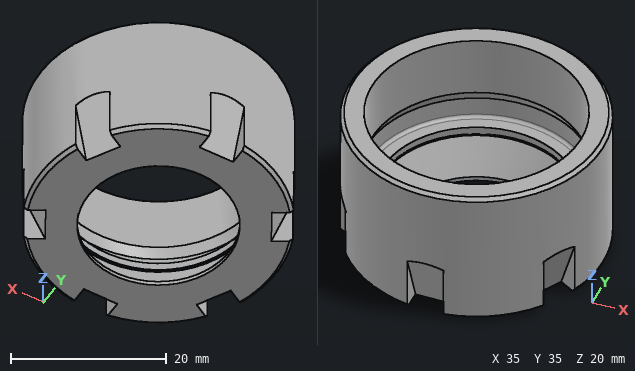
import cadquery as cq
import math

outer_diameter = 35.0
height = 20.0
rim_chamfer = 0.5
outer_radius = outer_diameter / 2

entry_radius = 28.9 / 2
relief_radius = 30.3 / 2
seat_radius = 26.0 / 2
exit_radius = 20.9 / 2
entry_depth = 8.6
relief_angle = 25.0
seat_depth = 13.2
seat_fillet = 0.45
seat_lip_depth = 14.4
groove_step = 0.15
cone_start_depth = 14.65
cone_angle = 30.0

slot_count = 6
slot_width = 5.0
slot_height = 8.2
slot_angle = 20.0


def make_ring():
    """Plain ring blank with both outer rims chamfered."""
    blank = cq.Workplane("XY").circle(outer_radius).extrude(height)
    return blank.faces("<Z or >Z").edges().chamfer(rim_chamfer)


def make_bore():
    """Revolved core: entry, undercut, filleted seat, shallow groove, tapered mouth and exit."""
    entry_z = height - entry_depth
    relief_z = entry_z - (relief_radius - entry_radius) / math.tan(math.radians(relief_angle))
    seat_z = height - seat_depth
    groove_radius = seat_radius + groove_step
    lip_z = height - seat_lip_depth
    cone_top_z = height - cone_start_depth
    cone_bottom_z = cone_top_z - (groove_radius - exit_radius) / math.tan(math.radians(cone_angle))
    arc_offset = seat_fillet * math.sqrt(0.5)
    fillet_middle = (
        relief_radius - seat_fillet + arc_offset,
        seat_z + seat_fillet - arc_offset,
    )
    profile = (
        cq.Workplane("XZ")
        .moveTo(0, height)
        .lineTo(entry_radius, height)
        .lineTo(entry_radius, entry_z)
        .lineTo(relief_radius, relief_z)
        .lineTo(relief_radius, seat_z + seat_fillet)
        .threePointArc(fillet_middle, (relief_radius - seat_fillet, seat_z))
        .lineTo(seat_radius, seat_z)
        .lineTo(seat_radius, lip_z)
        .lineTo(groove_radius, lip_z)
        .lineTo(groove_radius, cone_top_z)
        .lineTo(exit_radius, cone_bottom_z)
        .lineTo(exit_radius, 0)
        .lineTo(0, 0)
        .close()
    )
    return profile.revolve(360, (0, 0, 0), (0, 1, 0))


def make_slot():
    """Wedge on the +Y side whose sloping floor runs out at the outer surface."""
    slot_depth = slot_height * math.tan(math.radians(slot_angle))
    wedge = [
        (outer_radius, slot_height),
        (outer_radius - slot_depth, 0),
        (outer_radius, 0),
    ]
    return cq.Workplane("YZ").polyline(wedge).close().extrude(slot_width / 2, both=True)


result = make_ring().cut(make_bore())
slot = make_slot()
for index in range(slot_count):
    result = result.cut(slot.rotate((0, 0, 0), (0, 0, 1), index * 360 / slot_count))